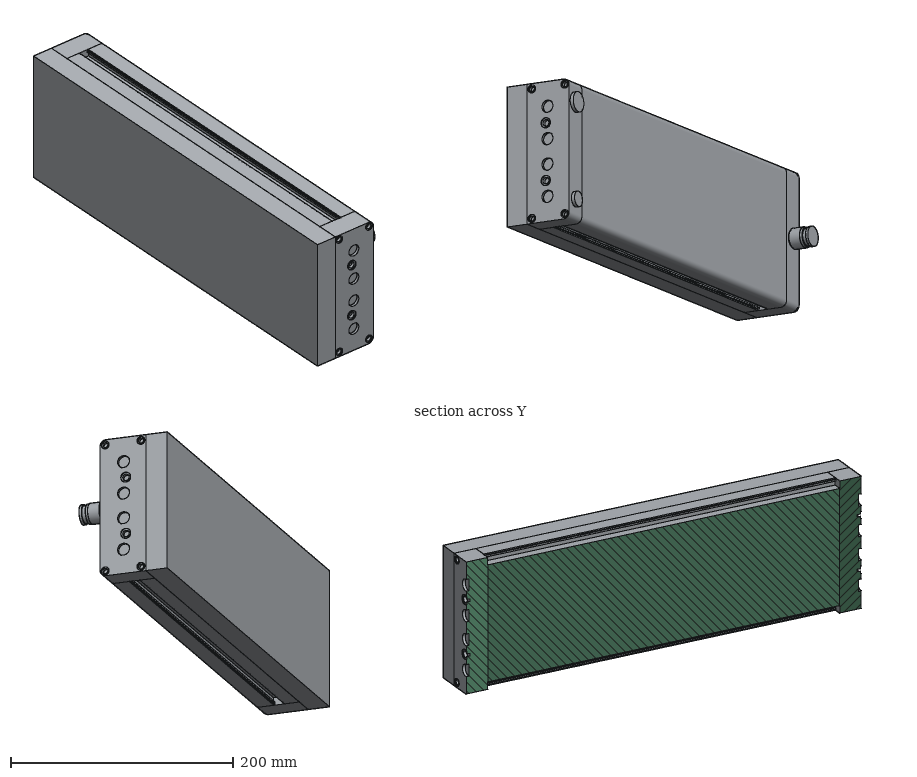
import cadquery as cq
LENGTH = 406.0
HEIGHT = 130.0
TOTAL_DEPTH = 86.0
PANEL_DEPTH = 20.7
BODY_BACK = 65.0
BODY_DEPTH = BODY_BACK - PANEL_DEPTH
CAP_LENGTH = 22.5
PROFILE_LENGTH = LENGTH - 2 * CAP_LENGTH
BACK_EDGE_RADIUS = 6.0

SLOT_Y = 40.0
SLOT_WIDTH = 7.7
SLOT_MOUTH_WIDTH = 10.0
SLOT_MOUTH_DEPTH = 1.2
SLOT_LIP_THICKNESS = 3.0
SLOT_CHAMBER_WIDTH = 11.0
SLOT_DEPTH = 7.5

SCREW_INSET = 5.0
SCREW_HEAD_DIAMETER = 7.5
SCREW_HEAD_DEPTH = 1.0
SCREW_HOLE_DIAMETER = 5.0
SCREW_HOLE_DEPTH = 4.0

RECESS_Y = 42.2
RECESS_OFFSETS = (11.8, 42.0)
RECESS_DIAMETER = 11.5
RECESS_DEPTH = 3.0
MOUNT_Y = 40.0
MOUNT_OFFSET = 26.8
MOUNT_HEAD_DIAMETER = 9.5
MOUNT_HEAD_DEPTH = 1.0
MOUNT_HOLE_DIAMETER = 6.0
MOUNT_HOLE_DEPTH = 4.0

CONNECTOR_RADIUS = 9.7
CONNECTOR_RING_RADIUS = 9.5
CONNECTOR_GROOVE_RADIUS = 8.0
CONNECTOR_NECK_LENGTH = 1.5
CONNECTOR_SLEEVE_LENGTH = 11.0
CONNECTOR_RING_LENGTH = 2.5

PLUG_OFFSET = 45.0
PLUG_HEIGHT = 3.2
LARGE_PLUG_DIAMETER = 18.5
SMALL_PLUG_DIAMETER = 14.2


def make_panel():
    """Flat rectangular front panel over the full length and height."""
    return cq.Workplane("XY").box(LENGTH, PANEL_DEPTH, HEIGHT, centered=(True, False, True))


def body_section(x_start, length):
    """Length of the body behind the panel, with rounded back edges."""
    block = cq.Workplane("XY").box(length, BODY_DEPTH, HEIGHT, centered=(False, False, True))
    block = block.edges("|X and >Y").fillet(BACK_EDGE_RADIUS)
    return block.translate((x_start, PANEL_DEPTH, 0))


def make_slot(x_start, length):
    """Cutter for the slot in the top face, undercut below a stepped mouth."""
    top = HEIGHT / 2
    lip_bottom = top - SLOT_LIP_THICKNESS
    floor = top - SLOT_DEPTH
    mouth_bottom = top - SLOT_MOUTH_DEPTH
    half_mouth = SLOT_MOUTH_WIDTH / 2
    half_throat = SLOT_WIDTH / 2
    half_chamber = SLOT_CHAMBER_WIDTH / 2
    right_side = [
        (half_mouth, top),
        (half_mouth, mouth_bottom),
        (half_throat, mouth_bottom),
        (half_throat, lip_bottom),
        (half_chamber, lip_bottom),
        (half_chamber, floor),
    ]
    left_side = [(-y, z) for y, z in reversed(right_side)]
    return (
        cq.Workplane("YZ", origin=(x_start, SLOT_Y, 0))
        .polyline(right_side + left_side)
        .close()
        .extrude(length)
    )


def make_profile():
    """Slotted middle profile between the two caps."""
    x_start = CAP_LENGTH - LENGTH / 2
    slot = make_slot(x_start, PROFILE_LENGTH)
    return body_section(x_start, PROFILE_LENGTH).cut(slot).cut(slot.mirror("XY"))


def drill(face_x, points, diameter, depth):
    """Round cutters going in the +X direction from the left cap's outer face."""
    return (
        cq.Workplane("YZ", origin=(face_x, 0, 0)).pushPoints(points).circle(diameter / 2).extrude(depth)
    )


def make_left_blank():
    """Left cap with all the holes of its outer face."""
    face_x = -LENGTH / 2
    screw_z = HEIGHT / 2 - SCREW_INSET
    screw_points = [
        (y, side * screw_z)
        for y in (PANEL_DEPTH + SCREW_INSET, BODY_BACK - SCREW_INSET)
        for side in (-1, 1)
    ]
    mount_points = [(MOUNT_Y, side * MOUNT_OFFSET) for side in (-1, 1)]
    recess_points = [(RECESS_Y, side * z) for z in RECESS_OFFSETS for side in (-1, 1)]
    return (
        body_section(face_x, CAP_LENGTH)
        .cut(drill(face_x, screw_points, SCREW_HEAD_DIAMETER, SCREW_HEAD_DEPTH))
        .cut(drill(face_x, screw_points, SCREW_HOLE_DIAMETER, SCREW_HOLE_DEPTH))
        .cut(drill(face_x, mount_points, MOUNT_HEAD_DIAMETER, MOUNT_HEAD_DEPTH))
        .cut(drill(face_x, mount_points, MOUNT_HOLE_DIAMETER, MOUNT_HOLE_DEPTH))
        .cut(drill(face_x, recess_points, RECESS_DIAMETER, RECESS_DEPTH))
    )


def back_disc(x, y, z, radius, length):
    """Cylinder standing on the plane Y = y and reaching towards +Y."""
    return cq.Workplane("XZ", origin=(x, y, z)).circle(radius).extrude(-length)


def make_left_cap():
    """Left cap carrying the grooved connector."""
    cap = make_left_blank()
    x = (CAP_LENGTH - LENGTH) / 2
    groove_length = (
        TOTAL_DEPTH - BODY_BACK - CONNECTOR_NECK_LENGTH - CONNECTOR_SLEEVE_LENGTH - 2 * CONNECTOR_RING_LENGTH
    )
    steps = [
        (CONNECTOR_GROOVE_RADIUS, CONNECTOR_NECK_LENGTH),
        (CONNECTOR_RADIUS, CONNECTOR_SLEEVE_LENGTH),
        (CONNECTOR_RING_RADIUS, CONNECTOR_RING_LENGTH),
        (CONNECTOR_GROOVE_RADIUS, groove_length),
        (CONNECTOR_RING_RADIUS, CONNECTOR_RING_LENGTH),
    ]
    y = BODY_BACK
    for radius, length in steps:
        cap = cap.union(back_disc(x, y, 0, radius, length))
        y += length
    return cap


def make_right_cap():
    """Right cap, the mirror image of the left one, carrying two plugs."""
    x = (LENGTH - CAP_LENGTH) / 2
    return (
        make_left_blank()
        .mirror("YZ")
        .union(back_disc(x, BODY_BACK, PLUG_OFFSET, LARGE_PLUG_DIAMETER / 2, PLUG_HEIGHT))
        .union(back_disc(x, BODY_BACK, -PLUG_OFFSET, SMALL_PLUG_DIAMETER / 2, PLUG_HEIGHT))
    )


panel = make_panel()
profile = make_profile()
left_cap = make_left_cap()
right_cap = make_right_cap()

result = cq.Compound.makeCompound([panel.val(), profile.val(), left_cap.val(), right_cap.val()])